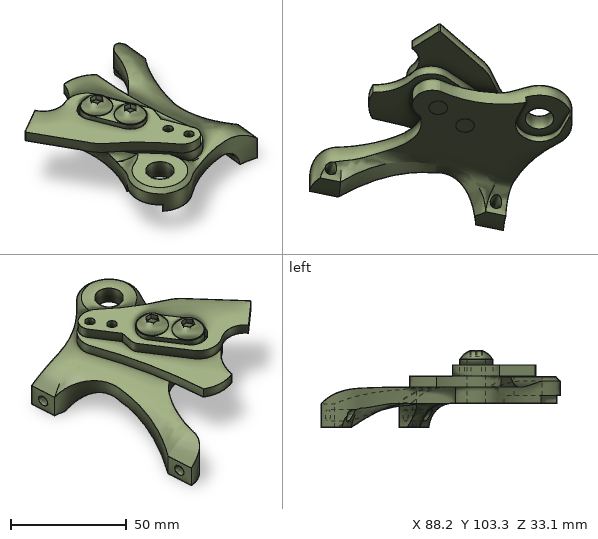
import cadquery as cq
import math


plate_thickness = 4.8
web_bottom = 10.3
web_top = 17.3
lower_plate_top = web_top + plate_thickness
upper_plate_top = lower_plate_top + plate_thickness
clamp_top = 29.2
screw_top = 33.06

boss_radius = 14.0
boss_flat_radius = 12.0
boss_top = 21.8
boss_fade_radius = 21.7
flare_start = 1.4
flare_radius = 13.1
pivot_bore_radius = 6.1
relief_radius = 10.3
relief_ceiling = 13.8
relief_direction = -110.0

mount_angle = math.radians(-26.95)
mount_end = (24.77, 49.92)
mount_length = 86.83
lug_width = 12.6
bolt_spacing = 74.0
bolt_hole_radius = 2.5
bolt_hole_height = 5.2
bolt_hole_depth = 20.0

crown_radius = 27.0
crown_headroom = 5.0
edge_overrun = 1.5

row_y = 22.3
shank_radius = 4.0
screw_xs = (-38.8, -23.1)
hex_turns = (0.0, 52.0)

mount_along = (math.cos(mount_angle), math.sin(mount_angle))
mount_inward = (math.sin(mount_angle), -math.cos(mount_angle))


def mount_point(distance):
    """Point on the mounting face, measured back from its +X end."""
    return (mount_end[0] - distance * mount_along[0], mount_end[1] - distance * mount_along[1])


def prism(sketch, bottom, top):
    """Closed XY sketch made solid between two heights."""
    return sketch.close().extrude(top - bottom).translate((0, 0, bottom))


def slot(left_x, right_x, radius, bottom, top):
    """Round-ended bar along the screw row; the x values are the end-arc centres."""
    centre = ((left_x + right_x) / 2, row_y)
    bar = cq.Workplane("XY").center(*centre).slot2D(right_x - left_x + 2 * radius, 2 * radius)
    return bar.extrude(top - bottom).translate((0, 0, bottom))


lug_a_outer = mount_point(mount_length)
lug_a_inner = mount_point(mount_length - lug_width)
lug_b_inner = mount_point(lug_width)
saddle_start = (-14.2, 51.4)
saddle_mid = (-2.2, 48.0)


def bracket_outline():
    """Plan outline of the bracket, clockwise from the tip of the long arm."""
    return (
        cq.Workplane("XY")
        .moveTo(*lug_a_outer)
        .lineTo(*lug_a_inner)
        .threePointArc((-29.8, 65.6), saddle_start)
        .threePointArc(saddle_mid, lug_b_inner)
        .lineTo(*mount_end)
        .threePointArc((12.2, 16.0), (13.55, 3.52))
        .threePointArc((0, -boss_radius), (-12.45, -6.4))
        .threePointArc((-22.3, 4.1), (-44.8, 14.5))
        .threePointArc((-50.5, row_y), (-41.5, 31.3))
        .threePointArc((-36.5, 36.0), (-34.5, 44.0))
        .lineTo(-34.9, 48.0)
        .threePointArc((-40.2, 60.6), (-50.3, 73.1))
        .threePointArc((-54.75, 81.5), lug_a_outer)
    )


class Section:
    """Vertical cutting line across the arm, from its edge towards the middle of the web."""

    def __init__(self, outer, inner):
        self.outer = outer
        self.reach = math.dist(outer, inner)
        self.way = ((inner[0] - outer[0]) / self.reach, (inner[1] - outer[1]) / self.reach)

    def at(self, distance, z):
        """Point a given distance inside the edge, at height z."""
        x, y = (self.outer[i] + distance * self.way[i] for i in (0, 1))
        return cq.Vector(x, y, z)

    def profile(self, tangent_at, end, z, rest):
        """Closed wire: an arc that leaves height z level, then straight lines through `rest`."""
        start = self.at(tangent_at, z)
        level = cq.Vector(-self.way[0], -self.way[1], 0)
        arc = cq.Edge.makeTangentArc(start, level, self.at(*end))
        corners = [self.at(*end)] + [self.at(*point) for point in rest] + [start]
        lines = [cq.Edge.makeLine(a, b) for a, b in zip(corners, corners[1:])]
        return cq.Wire.assembleEdges([arc] + lines)

    def crown(self):
        """Profile of the stock removed above the rounded top."""
        run = self.reach + edge_overrun
        drop = crown_radius - math.sqrt(crown_radius**2 - run**2)
        ceiling = web_top + crown_headroom
        rest = [(-edge_overrun, ceiling), (self.reach, ceiling)]
        return self.profile(self.reach, (-edge_overrun, web_top - drop), web_top, rest)

    def skirt(self, tangent_at, knee, edge_z):
        """Profile of the material that hangs below the web, with an arched underside."""
        roof = (web_bottom + web_top) / 2
        rest = [(-edge_overrun, edge_z), (-edge_overrun, roof), (tangent_at, roof)]
        return self.profile(tangent_at, knee, web_bottom, rest)


arm_section = Section(lug_a_inner, (-51.85, 68.46))
arm_mid_section = Section((-28.0, 63.5), (-34.6, 57.2))
saddle_section = Section(saddle_start, (-17.36, 45.98))
saddle_mid_section = Section(saddle_mid, (-4.0, 40.75))
short_mid_section = Section((4.7, 49.2), (2.9, 39.1))
short_section = Section(lug_b_inner, (9.66, 38.3))

lug_arch_start = 20.5
lug_foot = 9.0
lug_sweep = 1.5 * lug_width


def loft(*wires, ruled=False):
    return cq.Workplane(cq.Solid.makeLoft(list(wires), ruled))


def sweep_along_mount(wire, distance):
    """Straight continuation of a profile parallel to the mounting face."""
    offset = cq.Vector(distance * mount_along[0], distance * mount_along[1], 0)
    return loft(wire, wire.translate(offset), ruled=True)


def crown_cut():
    """Pieces of stock removed to round the top of the upper edge."""
    arm, saddle, middle, short = (
        s.crown() for s in (arm_section, saddle_section, saddle_mid_section, short_section)
    )
    return [
        sweep_along_mount(arm, -lug_sweep),
        loft(arm, saddle, ruled=True),
        loft(saddle, middle, short),
        sweep_along_mount(short, lug_sweep),
    ]


def skirts():
    """Pieces of the lugs and of the arched edge between them, below the web.

    Each wire is given by where its arch starts, where its arc ends, and its height at the edge.
    """
    knee = (lug_foot, 0)
    arm_lug = arm_section.skirt(lug_arch_start, knee, -0.3)
    arm_mid = arm_mid_section.skirt(11.5, (6.0, 8.9), 6.9)
    saddle = saddle_section.skirt(8.0, (4.0, 10.0), 9.2)
    saddle_mid_wire = saddle_mid_section.skirt(10.0, (5.0, 9.8), 8.8)
    short_mid = short_mid_section.skirt(13.0, (6.0, 7.8), 4.3)
    short_lug = short_section.skirt(lug_arch_start, knee, -6.0)
    return [
        sweep_along_mount(arm_lug, -lug_sweep),
        loft(arm_lug, arm_mid, saddle),
        loft(saddle, saddle_mid_wire, short_mid, short_lug),
        sweep_along_mount(short_lug, lug_sweep),
    ]


def flank_mid(top, foot):
    """Middle of the hollow flank arc, level with the web at `foot` and rising to the boss at `top`."""
    run = foot - top
    rise = boss_top - web_top
    radius = (run**2 + rise**2) / (2 * rise)
    half_angle = math.asin(run / radius) / 2
    return (foot - radius * math.sin(half_angle), web_top + radius * (1 - math.cos(half_angle)))


def flank_profile(top, foot):
    """XZ profile of the boss, from its axis out to the foot of its hollow flank."""
    return (
        cq.Workplane("XZ")
        .moveTo(0, web_bottom)
        .lineTo(0, boss_top)
        .lineTo(top, boss_top)
        .threePointArc(flank_mid(top, foot), (foot, web_top))
        .lineTo(foot, web_bottom)
        .close()
    )


def boss_rise():
    """Boss above the web: flat top and a hollow flank that fades into the web."""
    profile = flank_profile(boss_flat_radius, boss_fade_radius)
    return profile.revolve(360, (0, 0), (0, 1))


def boss_flare():
    """Boss stock towards the lower plate: a short straight flank that then bends to -X."""
    straight = flank_profile(-boss_flat_radius, -boss_fade_radius).extrude(-flare_start)
    axis_x = -boss_flat_radius - flare_radius
    inner = flare_radius - (boss_fade_radius - boss_flat_radius)
    hollow = (
        cq.Workplane("XZ")
        .moveTo(0, web_top)
        .lineTo(inner, web_top)
        .threePointArc(flank_mid(flare_radius, inner), (flare_radius, boss_top))
        .lineTo(0, boss_top)
        .close()
        .revolve(360, (0, 0), (0, 1))
        .translate((axis_x, flare_start, 0))
    )
    block = cq.Workplane("XY").rect(-axis_x, flare_radius, centered=False)
    block = block.extrude(boss_top - web_bottom).translate((axis_x, flare_start, web_bottom))
    return straight.union(block.cut(hollow))


def plate_clearance():
    """Room above the web for the end of the lower plate."""
    left, front = (-40.0, 3.5)
    right, back = (10.6, 34.0)
    sketch = (
        cq.Workplane("XY")
        .moveTo(-22.5, front)
        .threePointArc((-13.6, 7.5), (-2.4, 11.5))
        .lineTo(1.0, 12.55)
        .threePointArc((7.5, 15.65), (right, 23.15))
        .lineTo(right, back)
        .lineTo(left, back)
        .lineTo(left, front)
    )
    return prism(sketch, web_top, boss_top)


def pivot_relief():
    """Round-ended pocket under the boss, open towards its free side."""
    length = 2 * boss_radius
    depth = relief_ceiling - web_bottom
    pocket = cq.Workplane("XY").circle(relief_radius).extrude(depth)
    mouth = cq.Workplane("XY").rect(length, 2 * relief_radius).extrude(depth)
    pocket = pocket.union(mouth.translate((length / 2, 0, 0)))
    return pocket.rotate((0, 0, 0), (0, 0, 1), relief_direction).translate((0, 0, web_bottom))


def bolt_hole(distance):
    """Level hole, square to the mounting face."""
    x, y = mount_point(distance)
    start = cq.Vector(x, y, bolt_hole_height)
    way = cq.Vector(*mount_inward, 0)
    return cq.Workplane(cq.Solid.makeCylinder(bolt_hole_radius, bolt_hole_depth, start, way))


def screw_holes(bottom, top):
    holes = cq.Workplane("XY").pushPoints([(x, row_y) for x in screw_xs]).circle(shank_radius)
    return holes.extrude(top - bottom).translate((0, 0, bottom))


def make_bracket():
    body = prism(bracket_outline(), web_bottom, web_top)
    hanging = prism(bracket_outline(), 0, web_top)
    for skirt in skirts():
        body = body.union(hanging.intersect(skirt))
    for cutter in crown_cut():
        body = body.cut(cutter)
    rise = boss_rise().union(boss_flare()).intersect(prism(bracket_outline(), web_bottom, boss_top))
    body = body.union(rise.cut(plate_clearance()))
    body = body.cut(cq.Workplane("XY").circle(pivot_bore_radius).extrude(boss_top))
    body = body.cut(pivot_relief())
    first_bolt = lug_width / 2
    for distance in (first_bolt, first_bolt + bolt_spacing):
        body = body.cut(bolt_hole(distance))
    return body.cut(screw_holes(web_bottom, web_top))


def make_lower_plate():
    tail_radius = 10.7
    tail_x = -43.0
    end_radius = 9.6
    end_y = 23.15
    end_top_x = 2.0
    end_foot_x = 0.8
    end_top = end_y + math.sqrt(end_radius**2 - end_top_x**2)
    end_foot = end_y - math.sqrt(end_radius**2 - end_foot_x**2)
    outline = (
        cq.Workplane("XY")
        .moveTo(-50.9, 51.1)
        .threePointArc((-24.8, 40.0), (end_top_x, end_top))
        .threePointArc((end_radius, end_y), (end_foot_x, end_foot))
        .lineTo(-20.9, row_y - tail_radius)
        .lineTo(tail_x, row_y - tail_radius)
        .radiusArc((tail_x - tail_radius, row_y), tail_radius)
        .threePointArc((-55.6, 31.9), (-61.2, 39.4))
        .threePointArc((-57.6, 46.2), (-50.9, 51.1))
    )
    return prism(outline, web_top, lower_plate_top).cut(screw_holes(web_top, lower_plate_top))


clamp_radius = 7.2
slot_left_x = -40.1
pin_hole_xs = (-5.4, 4.3)
pin_hole_radius = 2.2


def make_upper_plate():
    tail_radius = 10.35
    tail_x = -43.25
    top_edge = row_y + tail_radius
    nose_edge = row_y + 5.1
    diagonal = tail_radius * math.sqrt(0.5)
    outline = (
        cq.Workplane("XY")
        .moveTo(tail_x - tail_radius, row_y)
        .threePointArc((tail_x - diagonal, row_y + diagonal), (tail_x, top_edge))
        .lineTo(-18.5, top_edge)
        .threePointArc((-16.8, 32.3), (-15.3, 31.3))
        .lineTo(-10.9, nose_edge)
        .lineTo(4.6, nose_edge)
        .threePointArc((8.0, 25.7), (9.45, row_y))
        .threePointArc((7.0, 16.5), (2.2, 13.95))
        .threePointArc((-10.5, 10.0), (-25.0, 3.1))
        .threePointArc((-29.7, 1.0), (-34.7, 0.1))
        .lineTo(-61.2, -3.45)
        .lineTo(-61.7, -3.0)
        .lineTo(-63.42, 12.2)
        .threePointArc((-55.9, 15.9), (tail_x - tail_radius, row_y))
    )
    plate = prism(outline, lower_plate_top, upper_plate_top)
    plate = plate.cut(slot(slot_left_x, screw_xs[1], clamp_radius, lower_plate_top, upper_plate_top))
    pins = cq.Workplane("XY").pushPoints([(x, row_y) for x in pin_hole_xs]).circle(pin_hole_radius)
    return plate.cut(pins.extrude(upper_plate_top))


def make_clamp_bar():
    bar = slot(*screw_xs, clamp_radius, lower_plate_top, clamp_top)
    return bar.cut(screw_holes(lower_plate_top, clamp_top))


head_radius = 6.95
head_rim = 0.25
hex_across_flats = 5.1
hex_depth = 2.6


def dome():
    """Radius and centre height of the spherical head, whose highest points edge the socket."""
    rim_top = clamp_top + head_rim
    flat_radius = hex_across_flats / 2
    rise = screw_top - rim_top
    centre = rim_top + (rise**2 + flat_radius**2 - head_radius**2) / (2 * rise)
    return math.hypot(head_radius, rim_top - centre), centre


def make_screw(x, turn):
    rim_top = clamp_top + head_rim
    dome_radius, dome_centre = dome()
    crown_z = dome_centre + dome_radius
    slant = math.asin(head_radius / dome_radius) / 2
    dome_mid = (dome_radius * math.sin(slant), dome_centre + dome_radius * math.cos(slant))
    screw = (
        cq.Workplane("XZ")
        .moveTo(0, web_bottom)
        .lineTo(shank_radius, web_bottom)
        .lineTo(shank_radius, clamp_top)
        .lineTo(head_radius, clamp_top)
        .lineTo(head_radius, rim_top)
        .threePointArc(dome_mid, (0, crown_z))
        .close()
        .revolve(360, (0, 0), (0, 1))
    )
    socket = cq.Workplane("XY").polygon(6, hex_across_flats / math.cos(math.pi / 6))
    socket = socket.extrude(2 * hex_depth)
    socket = socket.rotate((0, 0, 0), (0, 0, 1), turn).translate((0, 0, screw_top - hex_depth))
    return screw.cut(socket).translate((x, row_y, 0))


bracket = make_bracket()
lower_plate = make_lower_plate()
upper_plate = make_upper_plate()
clamp_bar = make_clamp_bar()
screws = [make_screw(x, turn) for x, turn in zip(screw_xs, hex_turns)]

bodies = [bracket, lower_plate, upper_plate, clamp_bar] + screws
result = cq.Compound.makeCompound([body.val() for body in bodies])